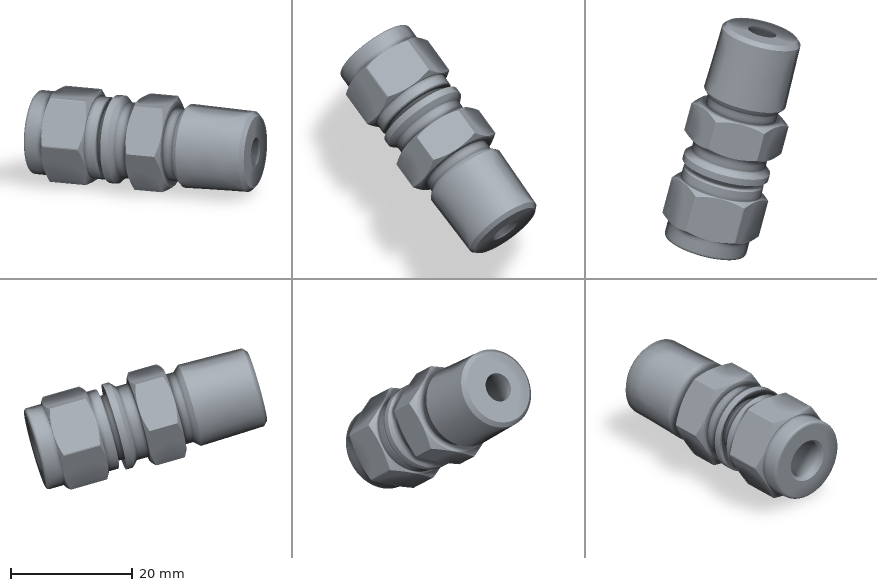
import cadquery as cq
import math

LENGTH = 38.05

HEX_FLATS = 14.3
HEX_CORNERS = HEX_FLATS / math.cos(math.radians(30))
HEX_FACE_DIA = 14.15
BEVEL_ANGLE = 30.0
NUT_CORNER_DIA = 16.4
NUT_HEX_START = 3.05
NUT_HEX_END = 10.58
BODY_HEX_START = 17.73
BODY_HEX_END = 23.9

NUT_DIA = 13.9
NUT_ROUNDING = 0.5
COLLAR_DIA = 13.6
COLLAR_END = 12.48
COLLAR_CHAMFER = 0.2

GROOVE_DIA = 11.1
FLANGE_DIA = 14.6
FLANGE_START = 13.55
DISH_DIA = 14.23
DISH_DEPTH = 1.52
RELIEF_DIA = 10.1
RELIEF_START = 14.1
FLANGE_RIM_END = 14.7
FLANGE_END = 15.67
SHOULDER_DIA = 12.6
SHOULDER_CHAMFER = 0.23

PIPE_NECK_DIA = 12.0
PIPE_NECK_END = 25.45
TAPER_START = 26.48
TAPER_LARGE_DIA = 13.9
TAPER_SMALL_DIA = 13.35
END_CHAMFER = 0.7
END_DIA = TAPER_SMALL_DIA - 2 * END_CHAMFER

BORE_DIA = 4.85
TUBE_DIA = 6.55
TUBE_DEPTH = 15.2
INLET_CHAMFER = 0.38


def cylinder(diameter, start, end):
    """A cylinder along X between two stations."""
    return cq.Workplane("YZ", origin=(start, 0, 0)).circle(diameter / 2).extrude(end - start)


def revolve_about_x(points):
    """Turn a closed (x, radius) outline about the X axis."""
    return cq.Workplane("XY").polyline(points).close().revolve(360, (0, 0, 0), (1, 0, 0))


def bevelled_hexagon(start, end, corner_dia):
    """A hexagon whose corners are turned to corner_dia and bevelled at both ends."""
    hexagon = (
        cq.Workplane("YZ", origin=(start, 0, 0))
        .polygon(6, HEX_CORNERS)
        .extrude(end - start)
    )
    bevel = (corner_dia - HEX_FACE_DIA) / 2 * math.tan(math.radians(BEVEL_ANGLE))
    envelope = revolve_about_x([
        (start, 0),
        (start, HEX_FACE_DIA / 2),
        (start + bevel, corner_dia / 2),
        (end - bevel, corner_dia / 2),
        (end, HEX_FACE_DIA / 2),
        (end, 0),
    ])
    return hexagon.intersect(envelope)


def make_nut():
    front = cylinder(NUT_DIA, 0, NUT_HEX_START).faces("<X").edges().fillet(NUT_ROUNDING)
    hexagon = bevelled_hexagon(NUT_HEX_START, NUT_HEX_END, NUT_CORNER_DIA)
    collar = cylinder(COLLAR_DIA, NUT_HEX_END, COLLAR_END)
    collar = collar.faces(">X").edges().chamfer(COLLAR_CHAMFER)
    return front.union(hexagon).union(collar)


def make_body():
    turned = revolve_about_x([
        (COLLAR_END, 0),
        (COLLAR_END, GROOVE_DIA / 2),
        (RELIEF_START, GROOVE_DIA / 2),
        (RELIEF_START, RELIEF_DIA / 2),
        (FLANGE_START + DISH_DEPTH, RELIEF_DIA / 2),
        (FLANGE_START, DISH_DIA / 2),
        (FLANGE_START, FLANGE_DIA / 2),
        (FLANGE_RIM_END, FLANGE_DIA / 2),
        (FLANGE_END, SHOULDER_DIA / 2),
        (BODY_HEX_START - SHOULDER_CHAMFER, SHOULDER_DIA / 2),
        (BODY_HEX_START, SHOULDER_DIA / 2 - SHOULDER_CHAMFER),
        (BODY_HEX_START, PIPE_NECK_DIA / 2),
        (PIPE_NECK_END, PIPE_NECK_DIA / 2),
        (TAPER_START, TAPER_LARGE_DIA / 2),
        (LENGTH - END_CHAMFER, TAPER_SMALL_DIA / 2),
        (LENGTH, END_DIA / 2),
        (LENGTH, 0),
    ])
    return turned.union(bevelled_hexagon(BODY_HEX_START, BODY_HEX_END, HEX_CORNERS))


def make_bore():
    inlet = revolve_about_x([
        (0, 0),
        (0, TUBE_DIA / 2 + INLET_CHAMFER),
        (INLET_CHAMFER, TUBE_DIA / 2),
        (TUBE_DEPTH, TUBE_DIA / 2),
        (TUBE_DEPTH, 0),
    ])
    return inlet.union(cylinder(BORE_DIA, 0, LENGTH))


result = make_nut().union(make_body()).cut(make_bore())